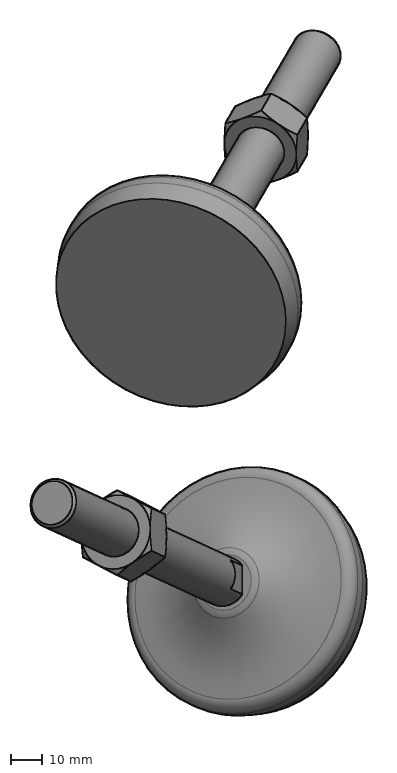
import cadquery as cq
import math

TOTAL_LENGTH = 160.0

PAD_RADIUS = 40.0
BASE_RADIUS = 38.3
RIM_START = 7.3
SHOULDER_HEIGHT = 15.0
SHOULDER_FILLET = 4.0
PAD_HEIGHT = 25.0
PAD_TOP_RADIUS = 10.4
PAD_TOP_FILLET = 4.0
SLOPE_SAG = 2.1

STUD_RADIUS = 8.0
STUD_START = 26.0
STUD_CHAMFER = 0.9
NECK_RADIUS = 5.0
FLAT_WIDTH = 13.0
FLAT_LENGTH = 9.0

NUT_SIDES = 6
NUT_ACROSS_FLATS = 24.0
NUT_START = 97.5
NUT_HEIGHT = 12.8
NUT_FACE_RADIUS = 12.0
NUT_CHAMFER_ANGLE = 30.0


def sagged_midpoint(start, end, sag):
    """Midpoint of the chord from start to end, moved by sag to the left of travel."""
    dx = end[0] - start[0]
    dy = end[1] - start[1]
    length = math.hypot(dx, dy)
    return (
        (start[0] + end[0]) / 2 - sag * dy / length,
        (start[1] + end[1]) / 2 + sag * dx / length,
    )


def revolve_about_y(profile):
    return profile.close().revolve(360, (0, 0, 0), (0, 1, 0))


def make_pad():
    shoulder_edge = (PAD_RADIUS - SHOULDER_FILLET, SHOULDER_HEIGHT)
    top_edge = (PAD_TOP_RADIUS, PAD_HEIGHT)
    profile = (
        cq.Workplane("XY")
        .lineTo(BASE_RADIUS, 0)
        .lineTo(PAD_RADIUS, RIM_START)
        .lineTo(PAD_RADIUS, SHOULDER_HEIGHT - SHOULDER_FILLET)
        .radiusArc(shoulder_edge, -SHOULDER_FILLET)
        .threePointArc(sagged_midpoint(shoulder_edge, top_edge, SLOPE_SAG), top_edge)
        .lineTo(0, PAD_HEIGHT)
    )
    return revolve_about_y(profile).faces(">Y").edges().fillet(PAD_TOP_FILLET)


def make_stud():
    """Threaded rod with a thin neck sunk into the pad and two wrench flats facing X."""
    neck_bottom = PAD_HEIGHT / 2
    profile = (
        cq.Workplane("XY")
        .moveTo(0, neck_bottom)
        .lineTo(NECK_RADIUS, neck_bottom)
        .lineTo(NECK_RADIUS, STUD_START)
        .lineTo(STUD_RADIUS, STUD_START)
        .lineTo(STUD_RADIUS, TOTAL_LENGTH - STUD_CHAMFER)
        .lineTo(STUD_RADIUS - STUD_CHAMFER, TOTAL_LENGTH)
        .lineTo(0, TOTAL_LENGTH)
    )
    stud = revolve_about_y(profile)
    for side in (-1, 1):
        cutter = cq.Workplane("XY").box(STUD_RADIUS, FLAT_LENGTH, 2 * STUD_RADIUS).translate(
            (side * (FLAT_WIDTH + STUD_RADIUS) / 2, STUD_START + FLAT_LENGTH / 2, 0)
        )
        stud = stud.cut(cutter)
    return stud


def make_nut():
    """Hexagon with corners on the Z axis and flats facing X, chamfered at both ends."""
    corner_radius = NUT_ACROSS_FLATS / 2 / math.cos(math.pi / NUT_SIDES)
    corner_angles = [2 * math.pi * i / NUT_SIDES for i in range(NUT_SIDES)]
    corners = [(corner_radius * math.sin(a), corner_radius * math.cos(a)) for a in corner_angles]
    nut_end = NUT_START + NUT_HEIGHT
    hexagon = cq.Workplane("XZ", origin=(0, NUT_START, 0)).polyline(corners).close().extrude(-NUT_HEIGHT)
    chamfer_drop = (corner_radius - NUT_FACE_RADIUS) * math.tan(math.radians(NUT_CHAMFER_ANGLE))
    envelope = revolve_about_y(
        cq.Workplane("XY")
        .moveTo(0, NUT_START)
        .lineTo(NUT_FACE_RADIUS, NUT_START)
        .lineTo(corner_radius, NUT_START + chamfer_drop)
        .lineTo(corner_radius, nut_end - chamfer_drop)
        .lineTo(NUT_FACE_RADIUS, nut_end)
        .lineTo(0, nut_end)
    )
    return hexagon.intersect(envelope)


result = make_pad().union(make_stud()).union(make_nut())